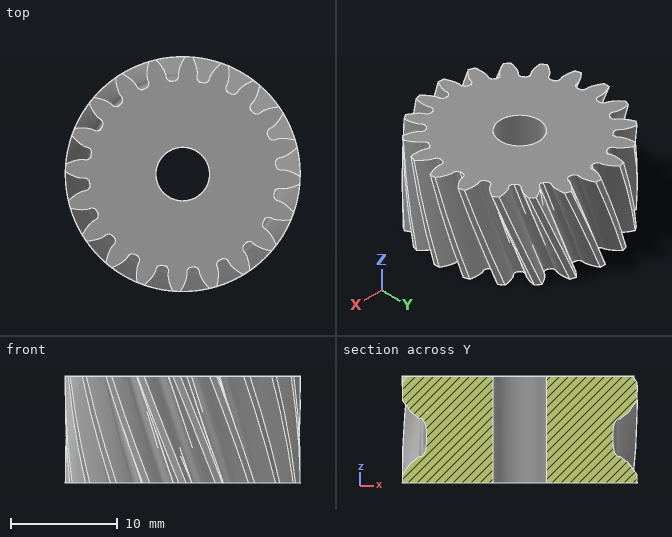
import cadquery as cq
import math

tooth_count = 20
outer_diameter = 22.0
face_width = 10.0
bore_diameter = 5.0
pressure_angle = math.radians(20)
helix_angle = math.radians(20)
dedendum_factor = 1.25
root_fillet = 0.48
top_tooth_angle = math.radians(87)
flank_steps = 6

module = outer_diameter / (tooth_count + 2)
tip_radius = outer_diameter / 2
pitch_radius = module * tooth_count / 2
base_radius = pitch_radius * math.cos(pressure_angle)
root_radius = pitch_radius - dedendum_factor * module

pitch_angle = 2 * math.pi / tooth_count
twist = face_width * math.tan(helix_angle) / pitch_radius
bottom_tooth_angle = top_tooth_angle + twist

involute_of_pressure_angle = math.tan(pressure_angle) - pressure_angle
base_half_angle = pitch_angle / 4 + involute_of_pressure_angle

fillet_center_radius = root_radius + root_fillet
fillet_half_angle = math.asin(root_fillet / fillet_center_radius)
fillet_top_radius = fillet_center_radius * math.cos(fillet_half_angle)
fillet_root_angle = base_half_angle + fillet_half_angle


def polar(radius, angle):
    return (radius * math.cos(angle), radius * math.sin(angle))


def flank_half_angle(radius):
    """Half the angle a tooth spans on the involute at this radius."""
    roll = math.acos(base_radius / radius)
    return base_half_angle - (math.tan(roll) - roll)


def fillet_middle(tooth_angle, side):
    """Middle point of the root fillet on one side (-1 or 1) of a tooth."""
    center_angle = tooth_angle + side * fillet_root_angle
    center_x, center_y = polar(fillet_center_radius, center_angle)
    direction = center_angle + math.pi + side * (math.pi / 2 - fillet_half_angle) / 2
    offset_x, offset_y = polar(root_fillet, direction)
    return (center_x + offset_x, center_y + offset_y)


def gear_outline():
    radii = [
        base_radius + (tip_radius - base_radius) * (step / flank_steps) ** 2
        for step in range(flank_steps + 1)
    ]
    half_angles = [flank_half_angle(radius) for radius in radii]
    outline = cq.Workplane("XY").moveTo(*polar(root_radius, bottom_tooth_angle - fillet_root_angle))
    for tooth in range(tooth_count):
        center = bottom_tooth_angle + tooth * pitch_angle
        rising = [polar(r, center - half) for r, half in zip(radii, half_angles)]
        falling = [polar(r, center + half) for r, half in zip(radii, half_angles)][::-1]
        next_root_start = center + pitch_angle - fillet_root_angle
        outline = (
            outline.threePointArc(
                fillet_middle(center, -1), polar(fillet_top_radius, center - base_half_angle)
            )
            .lineTo(*rising[0])
            .spline(rising[1:], includeCurrent=True)
            .threePointArc(polar(tip_radius, center), falling[0])
            .spline(falling[1:], includeCurrent=True)
            .lineTo(*polar(fillet_top_radius, center + base_half_angle))
            .threePointArc(
                fillet_middle(center, 1), polar(root_radius, center + fillet_root_angle)
            )
            .threePointArc(
                polar(root_radius, center + pitch_angle / 2), polar(root_radius, next_root_start)
            )
        )
    return outline.close()


gear = gear_outline().twistExtrude(face_width, -math.degrees(twist))
bore = cq.Workplane("XY").circle(bore_diameter / 2).extrude(face_width)
result = gear.cut(bore)